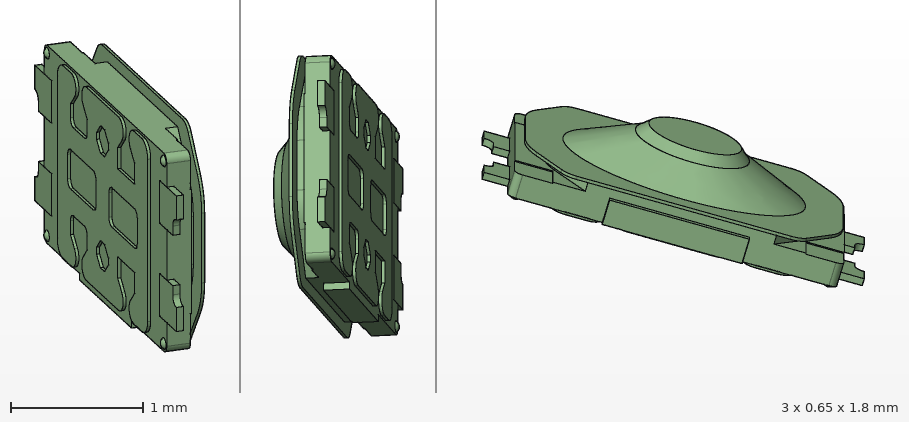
import cadquery as cq
import math


HOUSING_WIDTH = 2.598
HOUSING_HEIGHT = 1.605
HOUSING_DEPTH = 0.2
HOUSING_CORNER_RADIUS = 0.063
FRAME_DEPTH = 0.1
FRAME_WIDTH = 2.155
FRAME_FLAT_X = 0.745
FRAME_FLAT_Z = 0.35
BLEND_RADIUS = 0.48
CORNER_STEP_SIZE = 0.3
CORNER_STEP_DEPTH = 0.01
TAB_WIDTH = 1.105
TAB_PROJECTION = 0.055
BUMP_RADIUS = 0.045

OVERALL_WIDTH = 3.0
TERMINAL_THICKNESS = 0.057
TERMINAL_INNER_X = 1.15
TERMINAL_NEAR_Z = 0.205
TERMINAL_FAR_Z = 0.55
TERMINAL_NOTCH_RADIUS = 0.075

PLATE_WIDTH = 1.915
PLATE_HEIGHT = 1.565
PLATE_THICKNESS = 0.025
PLATE_CORNER_RADIUS = 0.125
KEYHOLE_X = 0.5
KEYHOLE_FLARE_RADIUS = 0.1
KEYHOLE_NECK_HALF_WIDTH = 0.063
KEYHOLE_HALF_WIDTH = 0.177
KEYHOLE_END_Z = 0.357
KEYHOLE_CORNER_RADIUS = 0.06
WINDOW_X = 0.438
WINDOW_WIDTH = 0.6
WINDOW_HEIGHT = 0.318
WINDOW_CORNER_RADIUS = 0.06
PORT_Z = 0.465
PORT_WIDTH = 0.25
PORT_HEIGHT = 0.22
PORT_CHAMFER = 0.08

COVER_WIDTH = 2.508
COVER_HEIGHT = 1.8
COVER_THICKNESS = 0.025
COVER_FLAT_X = 0.92
COVER_FLAT_Z = 0.438
COVER_CORNER_RADIUS = 0.15
DOME_HALF_WIDTH = 0.957
DOME_HALF_HEIGHT = 0.723
DOME_DEPTH = 0.222
CAP_BASE_RADIUS = 0.45
CAP_TOP_RADIUS = 0.365
CAP_DEPTH = 0.078

FRAME_TOP_Y = HOUSING_DEPTH + FRAME_DEPTH
COVER_TOP_Y = FRAME_TOP_Y + COVER_THICKNESS
DOME_TOP_Y = COVER_TOP_Y + DOME_DEPTH
SIGNS = (-1, 1)
QUADRANTS = [(side_x, side_z) for side_x in SIGNS for side_z in SIGNS]


def face_at(y):
    """Sketch plane at height y: local axes are X and Z, and extruding goes toward -Y."""
    return cq.Workplane("XZ", origin=(0, y, 0))


def block(width, height, y_start, depth, center=(0, 0)):
    """Box centered in X and Z that runs from y_start toward +Y."""
    return face_at(y_start).center(*center).rect(width, height).extrude(-depth)


def octagon(width, height, flat_x, flat_z, y_start, depth):
    """Rectangle with slanted corners; the short sides blend into the slants with arcs."""
    half_width = width / 2
    half_height = height / 2
    corners = [
        (flat_x, half_height), (half_width, flat_z),
        (half_width, -flat_z), (flat_x, -half_height),
        (-flat_x, -half_height), (-half_width, -flat_z),
        (-half_width, flat_z), (-flat_x, half_height),
    ]
    solid = face_at(y_start).polyline(corners).close().extrude(-depth)
    return solid.edges("|Y").edges("<X or >X").fillet(BLEND_RADIUS)


def make_bump(x, z):
    """Spherical cap standing as far out of the mounting face as the base plate."""
    sphere_radius = (BUMP_RADIUS**2 + PLATE_THICKNESS**2) / (2 * PLATE_THICKNESS)
    half_angle = math.asin(BUMP_RADIUS / sphere_radius) / 2
    arc_middle = (
        sphere_radius * math.sin(half_angle),
        sphere_radius * (1 - math.cos(half_angle)) - PLATE_THICKNESS,
    )
    profile = (
        cq.Workplane("XY", origin=(x, 0, z))
        .lineTo(BUMP_RADIUS, 0)
        .threePointArc(arc_middle, (0, -PLATE_THICKNESS))
        .close()
    )
    return profile.revolve(360, (0, 0), (0, 1))


def make_terminal(side_x, side_z):
    """Flat lug set flush in the mounting face, with a round-ended notch at its outer end."""
    outer_x = OVERALL_WIDTH / 2
    arc_z = TERMINAL_NEAR_Z + TERMINAL_NOTCH_RADIUS
    arc_middle = TERMINAL_NOTCH_RADIUS * math.sqrt(0.5)
    outline = (
        face_at(0)
        .moveTo(side_x * TERMINAL_INNER_X, side_z * TERMINAL_NEAR_Z)
        .lineTo(side_x * (outer_x - TERMINAL_NOTCH_RADIUS), side_z * TERMINAL_NEAR_Z)
        .lineTo(side_x * (outer_x - TERMINAL_NOTCH_RADIUS), side_z * arc_z)
        .threePointArc(
            (side_x * (outer_x - arc_middle), side_z * (arc_z + arc_middle)),
            (side_x * outer_x, side_z * (arc_z + TERMINAL_NOTCH_RADIUS)),
        )
        .lineTo(side_x * outer_x, side_z * TERMINAL_FAR_Z)
        .lineTo(side_x * TERMINAL_INNER_X, side_z * TERMINAL_FAR_Z)
        .close()
    )
    return outline.extrude(-TERMINAL_THICKNESS)


def make_housing(terminals):
    corner_x = HOUSING_WIDTH / 2
    corner_z = HOUSING_HEIGHT / 2
    body = block(HOUSING_WIDTH, HOUSING_HEIGHT, 0, HOUSING_DEPTH)
    body = body.edges("|Y").fillet(HOUSING_CORNER_RADIUS)
    for side_x, side_z in QUADRANTS:
        step = block(
            2 * CORNER_STEP_SIZE, 2 * CORNER_STEP_SIZE,
            HOUSING_DEPTH - CORNER_STEP_DEPTH, CORNER_STEP_DEPTH,
            (side_x * corner_x, side_z * corner_z),
        )
        body = body.cut(step)
    frame = octagon(
        FRAME_WIDTH, HOUSING_HEIGHT, FRAME_FLAT_X, FRAME_FLAT_Z, HOUSING_DEPTH, FRAME_DEPTH
    )
    body = body.union(frame)
    tab_z = -corner_z - TAB_PROJECTION / 2
    body = body.union(block(TAB_WIDTH, TAB_PROJECTION, 0, HOUSING_DEPTH, (0, tab_z)))
    bump_x = corner_x - HOUSING_CORNER_RADIUS
    bump_z = corner_z - HOUSING_CORNER_RADIUS
    for side_x, side_z in QUADRANTS:
        body = body.union(make_bump(side_x * bump_x, side_z * bump_z))
    for terminal in terminals:
        body = body.cut(terminal)
    return body


def make_keyhole(side_x, side_z):
    """Cutter open at the plate edge: flared mouth, neck, and 45 degree shoulders into a pocket."""
    flare = KEYHOLE_FLARE_RADIUS
    diagonal = flare * math.sqrt(0.5)
    edge_z = PLATE_HEIGHT / 2
    flare_x = KEYHOLE_NECK_HALF_WIDTH + flare
    flare_z = edge_z - flare
    tangent_x = flare_x - diagonal
    tangent_z = flare_z - diagonal
    shoulder_z = tangent_z - (KEYHOLE_HALF_WIDTH - tangent_x)

    def at(x, z):
        return (side_x * KEYHOLE_X + x, side_z * z)

    cutter = (
        face_at(0)
        .moveTo(*at(-flare_x, edge_z))
        .threePointArc(at(-KEYHOLE_NECK_HALF_WIDTH, flare_z), at(-tangent_x, tangent_z))
        .lineTo(*at(-KEYHOLE_HALF_WIDTH, shoulder_z))
        .lineTo(*at(-KEYHOLE_HALF_WIDTH, KEYHOLE_END_Z))
        .lineTo(*at(KEYHOLE_HALF_WIDTH, KEYHOLE_END_Z))
        .lineTo(*at(KEYHOLE_HALF_WIDTH, shoulder_z))
        .lineTo(*at(tangent_x, tangent_z))
        .threePointArc(at(KEYHOLE_NECK_HALF_WIDTH, flare_z), at(flare_x, edge_z))
        .close()
        .extrude(PLATE_THICKNESS)
    )
    if side_x < 0:
        inner_end = "<Z" if side_z > 0 else ">Z"
        cutter = cutter.faces(inner_end).edges("|Y").fillet(KEYHOLE_CORNER_RADIUS)
    return cutter


def plate_block(width, height, center=(0, 0)):
    """Rectangle as thick as the base plate, lying on the mounting face."""
    return block(width, height, -PLATE_THICKNESS, PLATE_THICKNESS, center)


def make_base_plate():
    plate = plate_block(PLATE_WIDTH, PLATE_HEIGHT).edges("|Y").fillet(PLATE_CORNER_RADIUS)
    for side_x, side_z in QUADRANTS:
        plate = plate.cut(make_keyhole(side_x, side_z))
    for side in SIGNS:
        window = plate_block(WINDOW_WIDTH, WINDOW_HEIGHT, (side * WINDOW_X, 0))
        plate = plate.cut(window.edges("|Y").fillet(WINDOW_CORNER_RADIUS))
        port = plate_block(PORT_WIDTH, PORT_HEIGHT, (0, side * PORT_Z))
        plate = plate.cut(port.edges("|Y").chamfer(PORT_CHAMFER))
    return plate


def make_cover():
    cover = octagon(
        COVER_WIDTH, COVER_HEIGHT, COVER_FLAT_X, COVER_FLAT_Z, FRAME_TOP_Y, COVER_THICKNESS
    )
    return cover.edges("|Y").edges(">Z or <Z").fillet(COVER_CORNER_RADIUS)


def make_dome():
    return (
        face_at(COVER_TOP_Y)
        .ellipse(DOME_HALF_WIDTH, DOME_HALF_HEIGHT)
        .workplane(offset=-DOME_DEPTH)
        .circle(CAP_BASE_RADIUS)
        .loft(ruled=True)
    )


def make_cap():
    cone = cq.Solid.makeCone(
        CAP_BASE_RADIUS, CAP_TOP_RADIUS, CAP_DEPTH,
        pnt=cq.Vector(0, DOME_TOP_Y, 0), dir=cq.Vector(0, 1, 0),
    )
    return cq.Workplane(cone)


terminals = [make_terminal(side_x, side_z) for side_x, side_z in QUADRANTS]
housing = make_housing(terminals)
base_plate = make_base_plate()
cover = make_cover()
dome = make_dome()
cap = make_cap()

result = cq.Compound.makeCompound([
    housing.val(),
    *[terminal.val() for terminal in terminals],
    base_plate.val(),
    cover.val(),
    dome.val(),
    cap.val(),
])